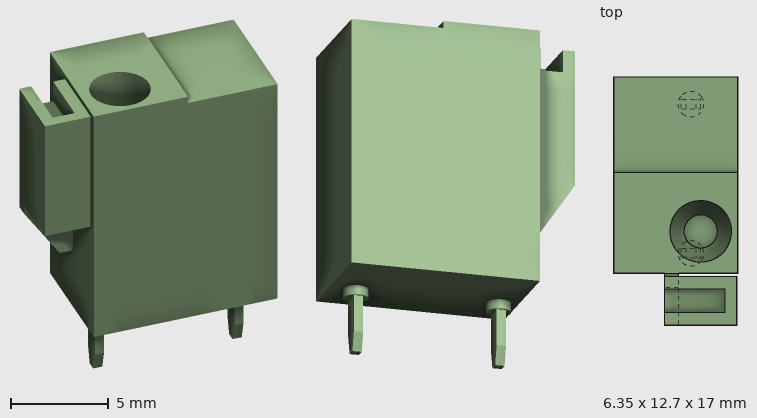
import cadquery as cq


housing_width = 6.35
housing_depth = 10.05
housing_height = 13.55
rear_step_depth = 4.9
rear_step_drop = 0.38

entry_x = 4.45
entry_y = 2.15
entry_diameter = 3.15
entry_bore_depth = 3.0
funnel_floor_diameter = 1.7
funnel_depth = (entry_diameter - funnel_floor_diameter) / 2

lever_left = 2.6
lever_width = 3.7
lever_gap = 0.15
lever_thickness = 2.5
lever_front = -(lever_gap + lever_thickness)
head_height = 6.75
leg_width = 0.72
leg_height = 10.1
leg_slope_start = 7.25
leg_foot_depth = 0.72
gap_height = 2.65

slot_wall = 0.65
slot_end_wall = 0.6
slot_depth = 1.2

pin_x = 3.95
first_pin_y = 1.03
pin_pitch = 7.62
pin_count = 2
pin_length = 3.45
collar_diameter = 1.3
collar_height = 0.5
blade_width = 1.0
blade_thickness = 0.5
tip_width = 0.5
tip_length = 1.0


def make_housing():
    body = cq.Workplane("XY").box(housing_width, housing_depth, housing_height, centered=False)

    rear_step = (
        cq.Workplane("XY")
        .box(housing_width, rear_step_depth, rear_step_drop, centered=False)
        .translate((0, housing_depth - rear_step_depth, housing_height - rear_step_drop))
    )

    entry_radius = entry_diameter / 2
    wire_entry = (
        cq.Workplane("XZ")
        .lineTo(entry_radius, 0)
        .lineTo(entry_radius, -entry_bore_depth)
        .lineTo(funnel_floor_diameter / 2, -entry_bore_depth - funnel_depth)
        .lineTo(0, -entry_bore_depth - funnel_depth)
        .close()
        .revolve(360, (0, 0), (0, 1))
        .translate((entry_x, entry_y, housing_height))
    )
    return body.cut(rear_step).cut(wire_entry)


def make_lever():
    top = housing_height

    leg = (
        cq.Workplane("YZ")
        .moveTo(-lever_gap, top)
        .lineTo(lever_front, top)
        .lineTo(lever_front, top - leg_slope_start)
        .lineTo(-leg_foot_depth, top - leg_height)
        .lineTo(0, top - leg_height)
        .lineTo(0, top - gap_height - lever_gap)
        .lineTo(-lever_gap, top - gap_height)
        .close()
        .extrude(leg_width)
        .translate((lever_left, 0, 0))
    )

    head = (
        cq.Workplane("XY")
        .box(lever_width, lever_thickness, head_height, centered=False)
        .translate((lever_left, lever_front, top - head_height))
    )

    tool_slot = (
        cq.Workplane("XY")
        .box(lever_width - slot_end_wall, lever_thickness - 2 * slot_wall, slot_depth, centered=False)
        .translate((lever_left, lever_front + slot_wall, top - slot_depth))
    )
    return leg.union(head).cut(tool_slot)


def make_pin(y):
    collar = cq.Workplane("XY").circle(collar_diameter / 2).extrude(-collar_height)

    blade = (
        cq.Workplane("XZ")
        .moveTo(-blade_width / 2, -collar_height)
        .lineTo(blade_width / 2, -collar_height)
        .lineTo(blade_width / 2, tip_length - pin_length)
        .lineTo(tip_width / 2, -pin_length)
        .lineTo(-tip_width / 2, -pin_length)
        .lineTo(-blade_width / 2, tip_length - pin_length)
        .close()
        .extrude(blade_thickness / 2, both=True)
    )
    return collar.union(blade).translate((pin_x, y, 0))


housing = make_housing()
lever = make_lever()
pins = [make_pin(first_pin_y + i * pin_pitch) for i in range(pin_count)]

result = cq.Compound.makeCompound([housing.val(), lever.val(), *[pin.val() for pin in pins]])